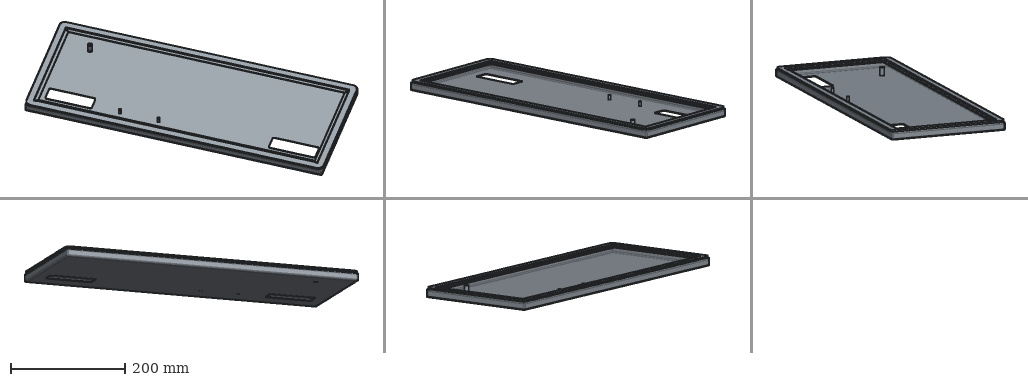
import cadquery as cq
import math

LENGTH = 545.0
WIDTH = 215.0
HEIGHT = 18.0

SHEET = 1.5
BEND_RADIUS = 3.0
CORNER_RADIUS = 2.5
FRAME_THICKNESS = 3.0
TRAY_HEIGHT = HEIGHT - FRAME_THICKNESS
LIP_REACH = 19.0
MITRE_GAP = 0.25
MITRE_ANGLE = 45

WINDOW_LENGTH = 85.0
WINDOW_WIDTH = 26.0
WINDOW_CORNER_RADIUS = 3.0
WINDOW_X = 205.0
WINDOW_Y = -55.0

STUD_DIAMETER = 4.5
STUD_HEIGHT = 8.0
STUD_PLACES = [(-111.0, -64.5), (-40.5, -64.5)]

FRAME_RIM = 12.5
FRAME_CORNER_RADIUS = 10.0

PIN_DIAMETER = 7.5
PIN_BORE = 4.0
PIN_HEIGHT = 14.5
PIN_PLACE = (-207.0, 67.5)


def make_rounded_block(length, width, bottom, top, bend, corner):
    """Block centred on the Z axis with rounded upright corners and rounded long edges."""
    block = cq.Workplane("XY").workplane(offset=bottom)
    block = block.rect(length, width).extrude(top - bottom)
    return block.edges("|Z").fillet(corner).faces("<Z or >Z").edges().fillet(bend)


def cut_mitres(tray):
    """Slit the lip along the diagonal of each corner."""
    inner_x = LENGTH / 2 - LIP_REACH
    inner_y = WIDTH / 2 - LIP_REACH
    slit_reach = LIP_REACH - BEND_RADIUS
    for side_x in (-1, 1):
        for side_y in (-1, 1):
            corner = (side_x * (inner_x + slit_reach / 2), side_y * (inner_y + slit_reach / 2))
            slit = (
                cq.Workplane("XY")
                .box(slit_reach * math.sqrt(2), MITRE_GAP, 2 * SHEET)
                .rotate((0, 0, 0), (0, 0, 1), side_x * side_y * MITRE_ANGLE)
                .translate((*corner, TRAY_HEIGHT - SHEET / 2))
            )
            tray = tray.cut(slit)
    return tray


def make_tray():
    """Hollow sheet metal tray, open at the top inside its lips."""
    tray = make_rounded_block(LENGTH, WIDTH, 0, TRAY_HEIGHT, BEND_RADIUS, CORNER_RADIUS)
    cavity = make_rounded_block(
        LENGTH - 2 * SHEET,
        WIDTH - 2 * SHEET,
        SHEET,
        TRAY_HEIGHT - SHEET,
        BEND_RADIUS - SHEET,
        CORNER_RADIUS - SHEET,
    )
    opening = (
        cq.Workplane("XY")
        .workplane(offset=TRAY_HEIGHT / 2)
        .rect(LENGTH - 2 * LIP_REACH, WIDTH - 2 * LIP_REACH)
        .extrude(TRAY_HEIGHT)
    )
    windows = (
        cq.Workplane("XY")
        .pushPoints([(-WINDOW_X, WINDOW_Y), (WINDOW_X, WINDOW_Y)])
        .rect(WINDOW_LENGTH, WINDOW_WIDTH)
        .extrude(SHEET)
        .edges("|Z")
        .fillet(WINDOW_CORNER_RADIUS)
    )
    studs = (
        cq.Workplane("XY")
        .workplane(offset=SHEET)
        .pushPoints(STUD_PLACES)
        .circle(STUD_DIAMETER / 2)
        .extrude(STUD_HEIGHT)
    )
    tray = tray.cut(cavity).cut(opening).cut(windows)
    return cut_mitres(tray).union(studs)


def make_frame():
    """Flat frame with rounded outer corners and a sharp-cornered opening."""
    return (
        cq.Workplane("XY")
        .workplane(offset=TRAY_HEIGHT)
        .rect(LENGTH, WIDTH)
        .extrude(FRAME_THICKNESS)
        .edges("|Z")
        .fillet(FRAME_CORNER_RADIUS)
        .faces(">Z")
        .workplane()
        .rect(LENGTH - 2 * FRAME_RIM, WIDTH - 2 * FRAME_RIM)
        .cutThruAll()
    )


def make_pin():
    """Round pin with a bore along its axis."""
    return (
        cq.Workplane("XY")
        .workplane(offset=SHEET)
        .center(*PIN_PLACE)
        .circle(PIN_DIAMETER / 2)
        .circle(PIN_BORE / 2)
        .extrude(PIN_HEIGHT)
    )


tray = make_tray()
frame = make_frame()
pin = make_pin()
result = cq.Compound.makeCompound([tray.val(), frame.val(), pin.val()])